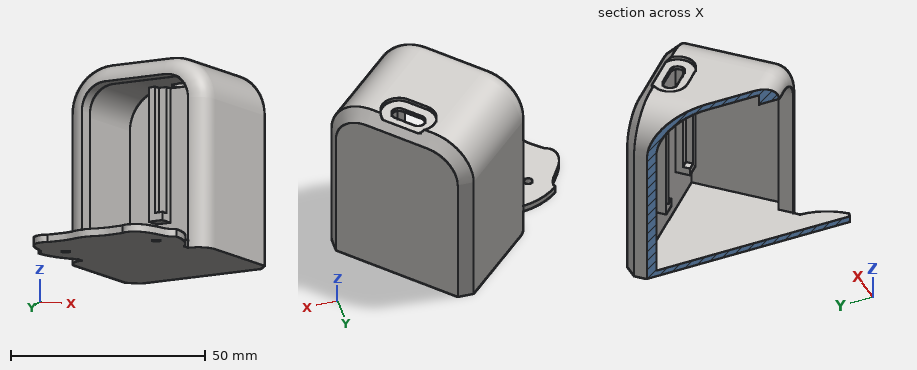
import cadquery as cq

TURN_ANGLE = -45

HOOD_WIDTH = 41.95
HOOD_HEIGHT = 51.45
HOOD_DEPTH = 33.0
HOOD_RADIUS = 12.0
LIP_THICKNESS = 5.0
LIP_DEPTH = 4.05
WALL = 2.0
BACK_WALL = 4.05
BACK_CHAMFER = 3.0
CAVITY_END = HOOD_DEPTH - BACK_WALL
MOUTH_HALF_WIDTH = HOOD_WIDTH / 2 - LIP_THICKNESS

SLOT_LENGTH = 9.6
SLOT_WIDTH = 3.9
RECESS_MARGIN = 2.8
RECESS_DEPTH = 1.0
SLOT_WALL_GAP = 0.1
SLOT_CENTER = CAVITY_END - SLOT_WALL_GAP - SLOT_WIDTH / 2

HOLDER_INNER = 6.8
HOLDER_WIDTH = 4.05
HOLDER_DEPTH = 4.05
HOLDER_BOTTOM = 14.1
HOLDER_SIDE = 1.8
HOLDER_SHELF = 2.2
HOLDER_NOTCH_DEPTH = 2.0

PLATE_THICKNESS = 2.0
NECK_END = -1.9
EAR_MIDDLE = (19.4, -7.4)
EAR_TIP = (20.75, -13.6)
SIDE_CURVE = [(19.45, -14.6), (18.25, -18.05), (17.3, -21.6), (15.35, -24.45), (13.1, -25.35), (11.3, -24.85)]
FRONT_CURVE = [(6.7, -24.6), (3.85, -25.0), (0, -25.7)]
HOLE_DIAMETER = 2.2
HOLE_SPACING = 27.2
HOLE_DEPTH_POSITION = -12.0


def arch(inset, start, end):
    """Solid arch, inset from the hood's outer profile, between two depths."""
    half_width = HOOD_WIDTH / 2 - inset
    top = HOOD_HEIGHT - inset
    radius = HOOD_RADIUS - inset
    return (
        cq.Workplane("XY")
        .box(2 * half_width, end - start, top, centered=(True, False, False))
        .translate((0, start, 0))
        .edges("|Y and >Z")
        .fillet(radius)
    )


def hood():
    """Arched shell with a rounded front lip and a chamfered back rim."""
    body = arch(0, 0, HOOD_DEPTH)
    body = body.faces(">Y").edges("not <Z").chamfer(BACK_CHAMFER)
    body = body.faces("<Y").edges("not <Z").fillet(LIP_THICKNESS)
    mouth = arch(LIP_THICKNESS, 0, LIP_DEPTH)
    cavity = arch(WALL, LIP_DEPTH, CAVITY_END)
    return body.cut(mouth).cut(cavity)


def roof_slot(margin, depth):
    """Cutter for the roof slot, widened all round by a margin."""
    return (
        cq.Workplane("XY", origin=(0, SLOT_CENTER, HOOD_HEIGHT - depth))
        .slot2D(SLOT_LENGTH + 2 * margin, SLOT_WIDTH + 2 * margin)
        .extrude(depth)
    )


def board_holder():
    """Holder at positive X: a side rail and a shelf, reaching up to the roof."""
    height = HOOD_HEIGHT - WALL - HOLDER_BOTTOM
    front = CAVITY_END - HOLDER_DEPTH
    block = (
        cq.Workplane("XY")
        .box(HOLDER_WIDTH, HOLDER_DEPTH, height, centered=False)
        .translate((HOLDER_INNER, front, HOLDER_BOTTOM))
    )
    notch = (
        cq.Workplane("XY")
        .box(HOLDER_WIDTH - HOLDER_SIDE, HOLDER_NOTCH_DEPTH, height, centered=False)
        .translate((HOLDER_INNER, front, HOLDER_BOTTOM + HOLDER_SHELF))
    )
    return block.cut(notch).intersect(arch(WALL, LIP_DEPTH, CAVITY_END))


def base_plate():
    """Floor of the hood and the tongue in front of it, with two screw holes."""
    half = (
        cq.Workplane("XY")
        .moveTo(0, LIP_DEPTH)
        .lineTo(MOUTH_HALF_WIDTH, LIP_DEPTH)
        .lineTo(MOUTH_HALF_WIDTH, NECK_END)
        .threePointArc(EAR_MIDDLE, EAR_TIP)
        .spline(SIDE_CURVE, includeCurrent=True)
        .spline(FRONT_CURVE, tangents=[(-1, 0), (-1, 0)], includeCurrent=True)
        .close()
        .extrude(PLATE_THICKNESS)
    )
    floor = (
        cq.Workplane("XY")
        .box(HOOD_WIDTH - 2 * WALL, CAVITY_END - LIP_DEPTH, PLATE_THICKNESS, centered=(True, False, False))
        .translate((0, LIP_DEPTH, 0))
    )
    holes = (
        cq.Workplane("XY")
        .pushPoints([(side * HOLE_SPACING / 2, HOLE_DEPTH_POSITION) for side in (-1, 1)])
        .circle(HOLE_DIAMETER / 2)
        .extrude(PLATE_THICKNESS)
    )
    return half.union(half.mirror("YZ")).union(floor).cut(holes)


holder = board_holder()
part = hood().union(base_plate()).union(holder).union(holder.mirror("YZ"))
part = part.cut(roof_slot(RECESS_MARGIN, RECESS_DEPTH))
part = part.cut(roof_slot(0, LIP_THICKNESS))
result = part.rotate((0, 0, 0), (0, 0, 1), TURN_ANGLE).clean()